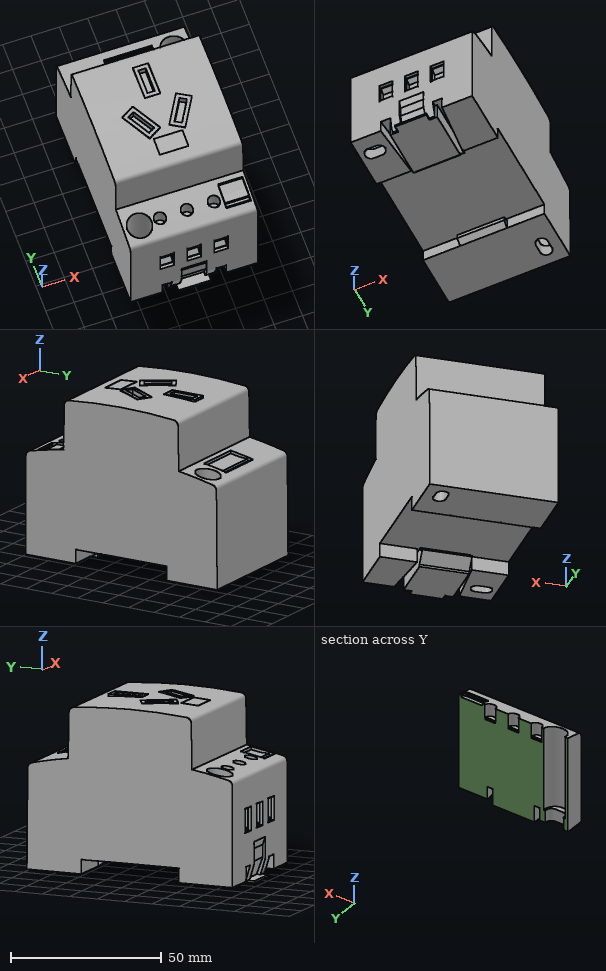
import cadquery as cq
import math

width = 45.0
back = 37.6
shelf_half_depth = 37.3
front = -shelf_half_depth
raised_base_half = 22.6
raised_top_half = 22.3
edge_fillet = 1.9

crown_height = 57.5
dome_radius = 210.6
shelf_radius = 154.0
shelf_centre_height = -113.4

rail_half = 17.75
rail_height = 5.0

notch_front_half = 11.3
notch_rear_half = 9.5
clip_half = 8.7
clip_front = -35.5
clip_bottom = -1.6
clip_plate_top = -0.75
wedge_half = 7.85
wedge_setback = 1.7
tip_half = 5.8
tip_front = -37.9
grip_half = 4.45
grip_setback = 2.3

counterbore_diameter = 8.6
mount_slot_length = 7.4
mount_slot_width = 4.4
mount_y = 30.2
screw_pitch = 9.5
screw_y = -29.8
screw_diameter = 4.15
screw_head_height = 32.45
driver_slot_length = 4.0
driver_slot_width = 0.6
driver_slot_depth = 0.6

entry_width = 4.9
entry_inner_width = 4.6
entry_low, entry_high = 16.6, 24.75
entry_lip = 0.4
entry_step_depth = 1.1
entry_depth = 3.0
entry_floor_low, entry_floor_high = 18.1, 23.3

frame_width, frame_length = 5.4, 12.1
frame_top = 57.6
contact_width, contact_length = 2.6, 9.05
contact_depth = 2.65
earth_y = 10.6
live_x, live_y = 6.95, -3.8
live_angle = 30.0
tile_width, tile_length = 10.1, 6.1
tile_y = -14.0
tile_rise = 0.1


def shelf_height(y):
    """Height of the terminal shelf surface at depth y."""
    return shelf_centre_height + math.sqrt(shelf_radius**2 - y**2)


def dome_height(y):
    """Height of the domed roof at depth y."""
    return crown_height - dome_radius + math.sqrt(dome_radius**2 - y**2)


def prism(points, x_low, x_high):
    """Extrude a closed (y, z) outline along X."""
    return cq.Workplane("YZ").workplane(offset=x_low).polyline(points).close().extrude(x_high - x_low)


def block(x_low, x_high, y_low, y_high, z_low, z_high):
    """Axis-aligned box given by its limits."""
    size = (x_high - x_low, y_high - y_low, z_high - z_low)
    return cq.Workplane("XY").box(*size, centered=False).translate((x_low, y_low, z_low))


def housing():
    """Stepped housing with curved shelves, domed roof and rail channel."""
    shelf_mid = (raised_base_half + shelf_half_depth) / 2
    shelf_edge = (shelf_half_depth, shelf_height(shelf_half_depth))
    shelf_root = (raised_base_half, shelf_height(raised_base_half))
    roof_edge = (raised_top_half, dome_height(raised_top_half))
    body = (
        cq.Workplane("YZ")
        .workplane(offset=-width / 2)
        .moveTo(front, 0)
        .lineTo(-shelf_edge[0], shelf_edge[1])
        .threePointArc((-shelf_mid, shelf_height(shelf_mid)), (-shelf_root[0], shelf_root[1]))
        .lineTo(-roof_edge[0], roof_edge[1])
        .threePointArc((0, crown_height), roof_edge)
        .lineTo(*shelf_root)
        .threePointArc((shelf_mid, shelf_height(shelf_mid)), shelf_edge)
        .lineTo(back, 0)
        .lineTo(rail_half, 0)
        .lineTo(rail_half, rail_height)
        .lineTo(-rail_half, rail_height)
        .lineTo(-rail_half, 0)
        .close()
        .extrude(width)
    )
    for y, z in (shelf_edge, roof_edge):
        for side in (-1, 1):
            body = body.edges(cq.NearestToPointSelector((0, side * y, z))).fillet(edge_fillet)
    return body


def clip_notch():
    """Tapered opening through the front foot."""
    return (
        cq.Workplane("XY")
        .polyline([
            (-notch_front_half, front),
            (notch_front_half, front),
            (notch_rear_half, -rail_half),
            (-notch_rear_half, -rail_half),
        ])
        .close()
        .extrude(rail_height)
    )


def rail_clip():
    """Sliding clip: base, front wedge, release tab and rail nose."""
    base = block(-clip_half, clip_half, clip_front, -rail_half, clip_bottom, rail_height)
    wedge = prism(
        [(front, rail_height), (front + wedge_setback, clip_plate_top),
         (-rail_half, clip_plate_top), (-rail_half, rail_height)],
        -wedge_half, wedge_half,
    )
    tab = block(-tip_half, tip_half, tip_front, -rail_half, clip_bottom, clip_plate_top)
    nose = prism(
        [(-rail_half, clip_plate_top), (-14.6, 3.25), (-14.6, 3.6),
         (-16.7, 4.15), (-16.7, rail_height), (-rail_half, rail_height)],
        -clip_half, clip_half,
    )
    return base.union(wedge).union(tab).union(nose)


def rail_hook():
    """Fixed hook on the rear side of the rail channel."""
    return prism(
        [(rail_half, 0), (15.5, 1.6), (15.5, 3.25), (rail_half, 4.0)],
        -clip_half, clip_half,
    )


def grip_recess():
    """Finger recess in the front wall, running down into the clip wedge."""
    flat = front + 0.9
    return prism(
        [(tip_front, 12.3), (front, 12.3), (flat, 9.6), (flat, 5.3),
         (flat + grip_setback, clip_plate_top), (tip_front, clip_plate_top)],
        -grip_half, grip_half,
    )


def wire_entry(x):
    """Shallow window with a funnel behind it."""
    step_y = front + entry_step_depth
    back_y = front + entry_depth
    window = block(x - entry_width / 2, x + entry_width / 2, front, step_y, entry_low, entry_high)
    funnel = prism(
        [(step_y, entry_low + entry_lip), (back_y, entry_floor_low),
         (back_y, entry_floor_high), (step_y, entry_high - entry_lip)],
        x - entry_inner_width / 2, x + entry_inner_width / 2,
    )
    return window.union(funnel)


def mounting_hole(x, y, slot_angle):
    """Counterbored elongated hole, seated level with the rail channel roof."""
    bore = (
        cq.Workplane("XY")
        .workplane(offset=rail_height)
        .center(x, y)
        .circle(counterbore_diameter / 2)
        .extrude(crown_height)
    )
    slot = (
        cq.Workplane("XY")
        .center(x, y)
        .slot2D(mount_slot_length, mount_slot_width, slot_angle)
        .extrude(rail_height)
    )
    return bore.union(slot)


def screw_hole(x):
    """Access hole ending on a screw head with a driver slot."""
    shaft = (
        cq.Workplane("XY")
        .workplane(offset=screw_head_height)
        .center(x, screw_y)
        .circle(screw_diameter / 2)
        .extrude(crown_height - screw_head_height)
    )
    driver_slot = block(
        x - driver_slot_length / 2, x + driver_slot_length / 2,
        screw_y - driver_slot_width / 2, screw_y + driver_slot_width / 2,
        screw_head_height - driver_slot_depth, crown_height,
    )
    return shaft.union(driver_slot)


def rocker_pocket(x_low, x_high):
    """Pocket in the front shelf whose floor is a rocker face with a trench and a low ledge."""
    return prism(
        [(-24.6, crown_height), (-24.6, 37.6), (-28.2, 36.9), (-31.2, 36.8), (-31.2, 35.9),
         (-32.7, 35.9), (-32.7, 36.7), (-33.1, 36.7), (-33.1, crown_height)],
        x_low, x_high,
    )


def socket_bar(x, y, angle, bar_width, bar_length, z_low, z_high):
    """Rectangular bar standing at one contact position."""
    return (
        cq.Workplane("XY")
        .rect(bar_width, bar_length)
        .extrude(z_high - z_low)
        .rotate((0, 0, 0), (0, 0, 1), angle)
        .translate((x, y, z_low))
    )


def roof_tile():
    """Thin rectangular tile that follows the dome."""
    dome = (
        cq.Workplane("YZ")
        .center(0, crown_height - dome_radius)
        .circle(dome_radius + tile_rise)
        .extrude(tile_width / 2, both=True)
    )
    y_low = tile_y - tile_length / 2
    y_high = tile_y + tile_length / 2
    column = block(-tile_width / 2, tile_width / 2, y_low, y_high, shelf_height(0), frame_top)
    return column.intersect(dome)


result = housing().cut(clip_notch()).union(rail_clip()).union(rail_hook()).cut(grip_recess())

for column in (-1, 0, 1):
    result = result.cut(wire_entry(column * screw_pitch))
    result = result.cut(screw_hole(column * screw_pitch))

result = result.cut(mounting_hole(-16.8, -mount_y, 0))
result = result.cut(mounting_hole(16.3, mount_y, 90))
result = result.cut(rocker_pocket(12.8, 21.4))
result = result.cut(rocker_pocket(-7.1, 9.7).mirror("XZ"))

contacts = [(0, earth_y, 0), (-live_x, live_y, live_angle), (live_x, live_y, -live_angle)]
for x, y, angle in contacts:
    frame = socket_bar(x, y, angle, frame_width, frame_length, frame_top - contact_depth, frame_top)
    opening = socket_bar(x, y, angle, contact_width, contact_length, frame_top - contact_depth, frame_top)
    result = result.union(frame).cut(opening)

result = result.union(roof_tile())